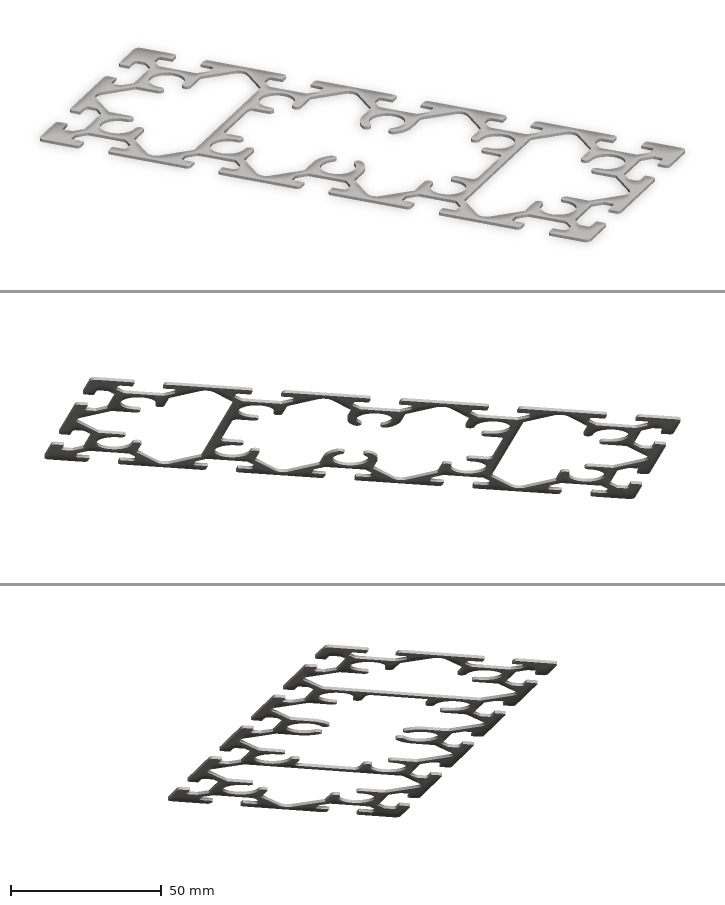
import cadquery as cq
import math


module = 40.0
half_length = 5 * module / 2
half_width = 2 * module / 2
thickness = 1.0
corner_radius = 1.8

mouth_width = 10.2
lip_thickness = 4.0
lip_radius = 1.2
slot_width = 20.0
slot_depth = 11.0
slot_chamfer = 3.2
slot_corner_radius = 1.0

channel_radius = 12.0 / 2
wall = 3.0
channel_outer = channel_radius + wall
arm_overhang = 2.2
tip_radius = wall / 2
tip_path_radius = channel_radius + tip_radius
hook_tip_angle = math.radians(40)

skin = 3.2
apex_radius = 3.5
chamber_radius = 1.8
shoulder_radius = 1.0
sin_45 = math.sqrt(0.5)

first = module / 2
second = first + module
third = second + module

apex_half_width = apex_radius * sin_45
apex_depth = skin + apex_radius * (1 - sin_45)
flank_foot = apex_depth + module / 2 - channel_outer - apex_half_width


def box(x_min, y_min, x_max, y_max):
    """Full-thickness block between two opposite corners."""
    block = cq.Workplane("XY").box(x_max - x_min, y_max - y_min, thickness, centered=False)
    return block.translate((x_min, y_min, 0))


def disc(x, y, radius):
    """Full-thickness cylinder."""
    return cq.Workplane("XY").center(x, y).circle(radius).extrude(thickness)


def round_edges(body, points, radius):
    """Fillet the upright edges standing at the given points."""
    for x, y in points:
        body = body.edges(cq.NearestToPointSelector((x, y, thickness / 2))).fillet(radius)
    return body


def swap_xy(body):
    """Reflect across the diagonal x = y."""
    return body.mirror("XZ").rotate((0, 0, 0), (0, 0, 1), 90)


def t_slot(centre):
    """T-slot opening through the y = 0 side."""
    half_mouth = mouth_width / 2
    half_slot = slot_width / 2
    half_floor = half_slot - slot_chamfer
    chamfer_start = slot_depth - slot_chamfer
    undercut = (
        cq.Workplane("XY")
        .moveTo(centre - half_slot, lip_thickness)
        .lineTo(centre + half_slot, lip_thickness)
        .lineTo(centre + half_slot, chamfer_start)
        .lineTo(centre + half_floor, slot_depth)
        .lineTo(centre - half_floor, slot_depth)
        .lineTo(centre - half_slot, chamfer_start)
        .close()
        .extrude(thickness)
    )
    lip_corners = [(centre - half_slot, lip_thickness), (centre + half_slot, lip_thickness)]
    undercut = round_edges(undercut, lip_corners, slot_corner_radius)
    return undercut.union(box(centre - half_mouth, 0, centre + half_mouth, lip_thickness))


def end_chamber():
    """Quarter share of the chamber at the short end, with a V recess on both outer sides."""
    near = first + channel_outer
    far = second - channel_outer
    return (
        cq.Workplane("XY")
        .moveTo(far, half_width)
        .lineTo(far, flank_foot)
        .lineTo(module + apex_half_width, apex_depth)
        .tangentArcPoint((module - apex_half_width, apex_depth), relative=False)
        .lineTo(near, flank_foot)
        .lineTo(near, near)
        .lineTo(flank_foot, near)
        .lineTo(apex_depth, half_width - apex_half_width)
        .tangentArcPoint((skin, half_width), relative=False)
        .close()
        .extrude(thickness)
    )


def middle_chamber():
    """Quarter share of the middle chamber, wrapping the round back of the hooked channel."""
    left = second - channel_radius
    near = second + channel_outer
    far = third - channel_outer
    apex = 2 * module
    shelf = first + channel_outer
    chamber = (
        cq.Workplane("XY")
        .moveTo(left, half_width)
        .lineTo(left, shelf)
        .lineTo(near, shelf)
        .lineTo(near, flank_foot)
        .lineTo(apex - apex_half_width, apex_depth)
        .tangentArcPoint((apex + apex_half_width, apex_depth), relative=False)
        .lineTo(far, flank_foot)
        .lineTo(far, first)
        .tangentArcPoint((third, shelf), relative=False)
        .lineTo(third, half_width)
        .close()
        .extrude(thickness)
    )
    chamber = round_edges(chamber, [(left, shelf)], chamber_radius)
    return round_edges(chamber, [(near, flank_foot), (far, flank_foot)], shoulder_radius)


def cut_two_arm_channel(body, x):
    """Screw channel open towards the inner diagonal, between two straight round-tipped arms."""
    y = first
    tip = arm_overhang - tip_radius
    body = body.cut(disc(x, y, channel_radius))
    body = body.cut(box(x, y, x + channel_radius, y + channel_radius))
    body = body.cut(box(x + tip, y + tip, x + channel_outer, y + channel_outer))
    body = body.union(disc(x + tip_path_radius, y + tip, tip_radius))
    return body.union(disc(x + tip, y + tip_path_radius, tip_radius))


def cut_hooked_channel(body):
    """Half of the middle screw channel, whose curved arm ends in a round tip."""
    along = math.sin(hook_tip_angle)
    inward = math.cos(hook_tip_angle)
    reach = 2 * channel_outer
    opening = (
        cq.Workplane("XY")
        .moveTo(third, first)
        .lineTo(third - reach * along, first + reach * inward)
        .lineTo(third, first + reach * inward)
        .close()
        .extrude(thickness)
    )
    tip = disc(third - tip_path_radius * along, first + tip_path_radius * inward, tip_radius)
    return body.cut(disc(third, first, channel_radius)).cut(opening).union(tip)


def quarter_profile():
    body = round_edges(box(0, 0, half_length, half_width), [(0, 0)], corner_radius)

    body = body.cut(swap_xy(t_slot(first)))
    mouth_edges = [(0, first - mouth_width / 2), (0, first + mouth_width / 2)]
    for centre in (first, second, third):
        body = body.cut(t_slot(centre))
        mouth_edges.append((centre - mouth_width / 2, 0))
        if centre < third:
            mouth_edges.append((centre + mouth_width / 2, 0))
    body = round_edges(body, mouth_edges, lip_radius)

    body = body.cut(end_chamber()).cut(middle_chamber())
    for centre in (first, second):
        body = cut_two_arm_channel(body, centre)
    return cut_hooked_channel(body)


quarter = quarter_profile().translate((-half_length, -half_width, 0))
half = quarter.union(quarter.mirror("YZ"))
result = half.union(half.mirror("XZ")).clean()